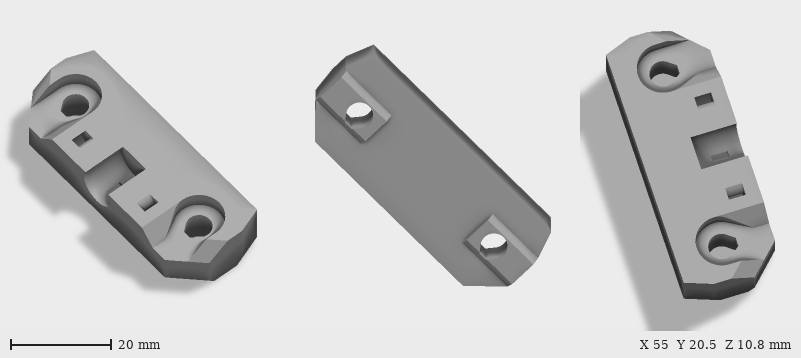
import cadquery as cq
import math

LENGTH = 55.0
WIDTH = 20.5
HEIGHT = 10.8
FRONT_CORNER = 6.25
BACK_CORNER_X = 2.1
BACK_CORNER_Y = 5.65
half_length = LENGTH / 2
side_back_y = WIDTH - BACK_CORNER_Y

FOOT_HEIGHT = 1.3
FOOT_LENGTH = 13.0
body_height = HEIGHT - FOOT_HEIGHT

SCREW_X = 19.25
SCREW_HOLE_RADIUS = 2.7
SCREW_HOLE_FLAT = 3.25
SCREW_HOLE_TAPER_ANGLE = 38.0
SEAT_RADIUS = 5.2
SEAT_FLAT = 7.4
SEAT_TAPER_ANGLE = 30.0
SEAT_DEPTH = 3.4
screw_y = (FRONT_CORNER + side_back_y) / 2

ROD_RADIUS = 4.05
ROD_AXIS_DEPTH = 2.0
ROD_LENGTH = 9.8

TIE_FRONT_Y = 2.95
TIE_WIDTH = 3.5
TIE_THICKNESS = 0.95
TIE_OVERLAP = 0.035
TIE_STRETCH = 2.5
tie_inner_radius = ROD_RADIUS - TIE_OVERLAP
tie_outer_radius = tie_inner_radius + TIE_THICKNESS


def mirrored_pair(shape):
    """Join a shape with its mirror image on the other side of X = 0."""
    return shape.union(shape.mirror("YZ"))


def plan_prism(depth):
    """Eight-sided plan outline, extruded down from the top."""
    right = [
        (half_length - FRONT_CORNER, 0),
        (half_length, FRONT_CORNER),
        (half_length, side_back_y),
        (half_length - BACK_CORNER_X, WIDTH),
    ]
    left = [(-x, y) for x, y in reversed(right)]
    return cq.Workplane("XY").polyline(right + left).close().extrude(-depth)


def foot():
    """Right foot: a trapezoid in YZ, run along X to the end of the block."""
    return (
        cq.Workplane("YZ", origin=(half_length - FOOT_LENGTH, 0, -body_height))
        .moveTo(FRONT_CORNER, 0)
        .lineTo(side_back_y, 0)
        .lineTo(side_back_y - FOOT_HEIGHT, -FOOT_HEIGHT)
        .lineTo(FRONT_CORNER + FOOT_HEIGHT, -FOOT_HEIGHT)
        .close()
        .extrude(FOOT_LENGTH)
    )


def teardrop(radius, angle, flat_distance, depth):
    """Round hole at the right screw, tapering toward the front to a flat end."""
    slope = math.radians(angle)
    tangent_x = radius * math.cos(slope)
    tangent_y = -radius * math.sin(slope)
    flat_x = tangent_x - (flat_distance + tangent_y) * math.tan(slope)
    return (
        cq.Workplane("XY", origin=(SCREW_X, screw_y, 0))
        .moveTo(-flat_x, -flat_distance)
        .lineTo(-tangent_x, tangent_y)
        .threePointArc((0, radius), (tangent_x, tangent_y))
        .lineTo(flat_x, -flat_distance)
        .close()
        .extrude(-depth)
    )


def screw_seat():
    """Right seat: teardrop recess plus a run-out to the front with a 45 degree inner wall."""
    inner_x = SCREW_X - SEAT_RADIUS
    outer_x = SCREW_X + SEAT_RADIUS
    recess = teardrop(SEAT_RADIUS, SEAT_TAPER_ANGLE, SEAT_FLAT, SEAT_DEPTH)
    run_out = (
        cq.Workplane("XZ")
        .moveTo(inner_x, 0)
        .lineTo(inner_x + SEAT_DEPTH, -SEAT_DEPTH)
        .lineTo(outer_x, -SEAT_DEPTH)
        .lineTo(outer_x, 0)
        .close()
        .extrude(-screw_y)
    )
    return recess.union(run_out)


def corner_bevel():
    """Right front corner: 45 degree bevel from the top edge of the corner cut down to seat depth."""
    reach = FRONT_CORNER / math.sqrt(2) + SEAT_DEPTH
    corner_middle = (half_length - FRONT_CORNER / 2, FRONT_CORNER / 2, 0)
    across_corner = cq.Plane(origin=corner_middle, xDir=(-1, 1, 0), normal=(1, 1, 0))
    return (
        cq.Workplane(across_corner)
        .moveTo(0, 0)
        .lineTo(SEAT_DEPTH, 0)
        .lineTo(0, -SEAT_DEPTH)
        .close()
        .extrude(reach, both=True)
    )


def rod_groove():
    """Blind round groove along Y, breaking through the top."""
    return cq.Workplane("XZ", origin=(0, 0, -ROD_AXIS_DEPTH)).circle(ROD_RADIUS).extrude(-ROD_LENGTH)


def tie_channel():
    """Elliptical ring around the rod axis, with both mouths in the top face."""
    return (
        cq.Workplane("XZ", origin=(0, TIE_FRONT_Y, -ROD_AXIS_DEPTH))
        .ellipse(TIE_STRETCH * tie_outer_radius, tie_outer_radius)
        .ellipse(TIE_STRETCH * tie_inner_radius, tie_inner_radius)
        .extrude(-TIE_WIDTH)
    )


feet = mirrored_pair(foot()).intersect(plan_prism(HEIGHT))
result = plan_prism(body_height).union(feet)

screw_hole = teardrop(SCREW_HOLE_RADIUS, SCREW_HOLE_TAPER_ANGLE, SCREW_HOLE_FLAT, HEIGHT)
for cutter in (screw_hole, screw_seat(), corner_bevel()):
    result = result.cut(mirrored_pair(cutter))
result = result.cut(tie_channel()).cut(rod_groove())